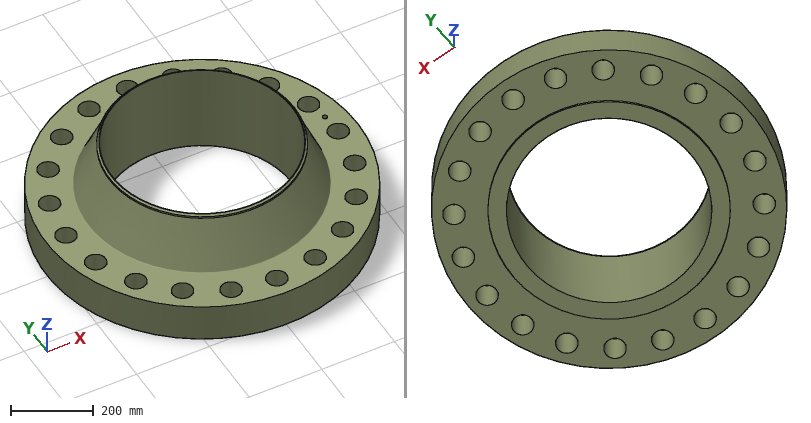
import cadquery as cq
import math

flange_diameter = 857.0
flange_thickness = 108.0
overall_height = 254.0

raised_face_diameter = 584.5
raised_face_height = 7.0

hub_base_diameter = 621.0
hub_base_fillet = 2.5
neck_diameter = 509.0
bore_diameter = 495.0
neck_straight_height = 5.0
weld_bevel_height = 4.0
weld_bevel_width = 5.0

bolt_count = 20
bolt_circle_diameter = 749.0
bolt_hole_diameter = 54.0

small_hole_diameter = 12.0
small_hole_depth = 12.0
pilot_diameter = 6.0
pilot_depth = 6.0

plate_top = flange_thickness
neck_top = overall_height - raised_face_height
bevel_start = neck_top - weld_bevel_height
cone_top = bevel_start - neck_straight_height
bolt_pitch_angle = 360.0 / bolt_count


def make_flange_body():
    """Revolve the half section of raised face, plate, hub and weld end about Z."""
    bore_radius = bore_diameter / 2
    raised_face_radius = raised_face_diameter / 2
    flange_radius = flange_diameter / 2
    neck_radius = neck_diameter / 2
    half_section = [
        (bore_radius, -raised_face_height),
        (raised_face_radius, -raised_face_height),
        (raised_face_radius, 0),
        (flange_radius, 0),
        (flange_radius, plate_top),
        (hub_base_diameter / 2, plate_top),
        (neck_radius, cone_top),
        (neck_radius, bevel_start),
        (neck_radius - weld_bevel_width, neck_top),
        (bore_radius, neck_top),
    ]
    body = cq.Workplane("XZ").polyline(half_section).close().revolve(360, (0, 0), (0, 1))
    hub_base_edge = body.faces("%CONE").edges("<Z")
    return hub_base_edge.fillet(hub_base_fillet)


def make_bolt_holes():
    """Through-hole cutters, with the first hole on the +X axis."""
    return (
        cq.Workplane("XY")
        .polarArray(bolt_circle_diameter / 2, 0, 360, bolt_count)
        .circle(bolt_hole_diameter / 2)
        .extrude(plate_top)
    )


def make_small_hole():
    """Stepped blind cutter in the plate top, half a bolt pitch from the +X axis."""
    angle = math.radians(bolt_pitch_angle / 2)
    radius = bolt_circle_diameter / 2
    mouth_center = (radius * math.cos(angle), radius * math.sin(angle), plate_top)
    return (
        cq.Workplane("XY", origin=mouth_center)
        .circle(small_hole_diameter / 2)
        .extrude(-small_hole_depth)
        .faces("<Z")
        .workplane()
        .circle(pilot_diameter / 2)
        .extrude(pilot_depth)
    )


result = make_flange_body().cut(make_bolt_holes()).cut(make_small_hole())